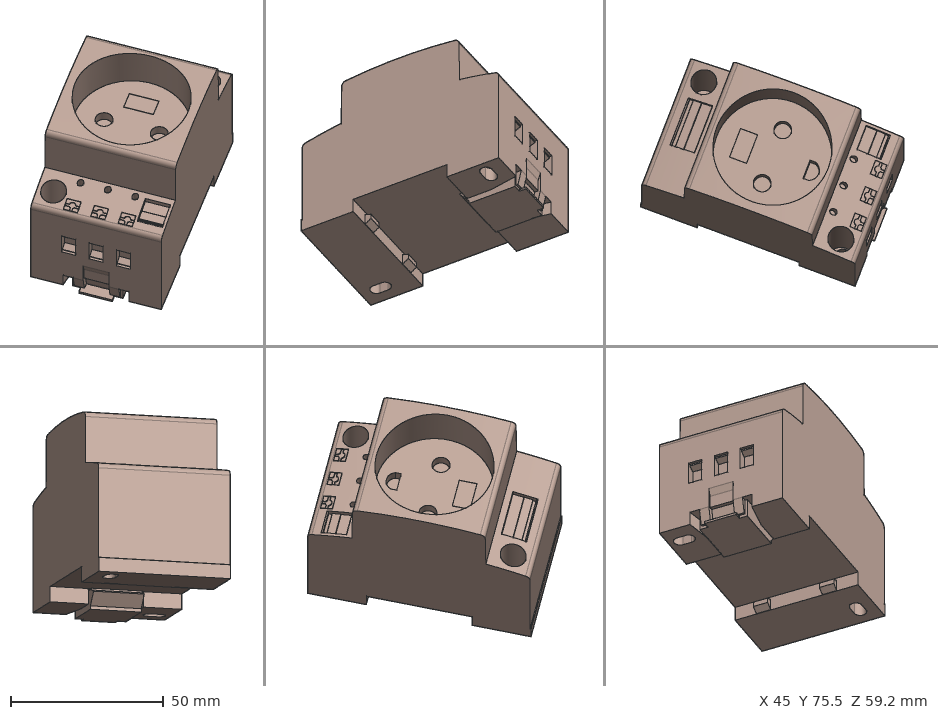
import cadquery as cq
import math

width = 45.0
foot_back_y = 75.0
foot_step_z = 4.7
wall_back_y = 74.65
middle_y = 37.4
clearance = 0.75

shoulder_radius = 150.95
shoulder_peak_z = 40.7
block_half_base = 22.5
block_draft = 0.2
crown_radius = 166.8
crown_peak_z = 57.5
corner_radius = 1.9

socket_center_y = 37.45
socket_diameter = 38.95
socket_floor_z = 42.5
pin_diameter = 5.8
pin_spacing = 19.0
pin_depth = 3.4
plate_width = 10.2
plate_length = 6.0
plate_y = 47.55
plate_depth = 0.15
earth_half_width = 3.25
earth_flat_y = 25.5
earth_side_y = 23.55
earth_tip_y = 21.3

rail_front_y = 19.7
rail_back_y = 55.25
rail_top_z = 5.1

hook_inner_x = 9.4
hook_width = 5.3
hook_reach = 2.2
hook_root_z = (0.15, 4.15)
hook_tip_z = (1.65, 3.4)

screw_bore_diameter = 8.45
screw_seat_z = rail_top_z
screw_slot_length = 7.5
screw_slot_width = 4.3
front_screw = (-16.9, 7.1)
back_screw = (16.3, 67.6)

terminal_pitch = 9.4
terminal_xs = (-terminal_pitch, 0, terminal_pitch)
terminal_width = 4.8

test_hole_y = 12.5
test_hole_width = 2.1
test_hole_length = 2.5
test_hole_depth = 3.8

screw_recess_front_y = 1.8
screw_recess_back_y = 5.9
screw_recess_depth = 0.2
screw_groove_depth = 0.3
screw_hub_diameter = 2.2
screw_hub_y = 4.0
cross_slot_y = 3.8
cross_slot_width = 0.8
stem_slot_width = 0.8

window_bottom_z = 16.7
window_top_z = 24.7
window_rim_depth = 0.9
window_sill_height = 0.2
window_lintel_height = 0.5
window_taper_rise = 1.05
window_depth = 3.1

front_label_x = (12.8, 21.4)
front_label_y = 12.75
back_label_x = (-7.1, 9.7)
back_label_y = 62.1
label_length = 8.45
label_step_start = 3.7
label_step_run = 0.15
label_step_rise = 0.15
label_groove_start = 6.7
label_ledge_width = 0.5
label_depth = 1.5
label_groove_depth = 1.9
label_ledge_depth = 0.4

latch_half_width = 8.7
latch_bottom_z = -1.65
latch_front_y = 2.0
latch_back_y = 19.5
latch_slope_half_width = 7.85
latch_slope_run = 1.3
latch_slope_bottom_z = -0.5
latch_top_z = 4.9
latch_hook_tip = (22.95, 3.7)
latch_neck_y = 20.7
latch_neck_z = 4.5
lip_width = 11.55
lip_front_y = -0.45
lip_top_z = -0.8
latch_slot_half_front = 11.3
latch_slot_half_back = 9.4
latch_slot_taper_length = 10.6

finger_width = 8.8
finger_top_z = 12.2
finger_roof_z = 9.6
finger_depth = 0.8
finger_slope_top_depth = 2.1
finger_bottom_depth = 3.5


def shoulder_z(y):
    """Height of the shoulder arc at depth y."""
    offset = y - middle_y
    return shoulder_peak_z - shoulder_radius + math.sqrt(shoulder_radius**2 - offset**2)


def crown_z(y):
    """Height of the arc on top of the socket block at depth y."""
    offset = y - middle_y
    return crown_peak_z - crown_radius + math.sqrt(crown_radius**2 - offset**2)


def prism(points, x0, x1):
    """Closed (Y, Z) polygon drawn out from x0 to x1."""
    return cq.Workplane("YZ").workplane(offset=x0).polyline(points).close().extrude(x1 - x0)


def tilted_plane(x, y):
    """Plane resting on the shoulder at (x, y), with local Y pointing backwards."""
    tilt = math.asin((y - middle_y) / shoulder_radius)
    normal = (0, math.sin(tilt), math.cos(tilt))
    return cq.Workplane(cq.Plane(origin=(x, y, shoulder_z(y)), xDir=(1, 0, 0), normal=normal))


def make_housing():
    block_front_y = middle_y - block_half_base
    block_back_y = middle_y + block_half_base
    crown_front_y = block_front_y + block_draft
    crown_back_y = block_back_y - block_draft
    shoulder_front_mid = block_front_y / 2
    shoulder_back_mid = (block_back_y + wall_back_y) / 2
    housing = (
        cq.Workplane("YZ")
        .moveTo(0, 0)
        .lineTo(0, shoulder_z(0))
        .threePointArc(
            (shoulder_front_mid, shoulder_z(shoulder_front_mid)),
            (block_front_y, shoulder_z(block_front_y)),
        )
        .lineTo(crown_front_y, crown_z(crown_front_y))
        .threePointArc((middle_y, crown_peak_z), (crown_back_y, crown_z(crown_back_y)))
        .lineTo(block_back_y, shoulder_z(block_back_y))
        .threePointArc(
            (shoulder_back_mid, shoulder_z(shoulder_back_mid)),
            (wall_back_y, shoulder_z(wall_back_y)),
        )
        .lineTo(wall_back_y, foot_step_z)
        .lineTo(foot_back_y, foot_step_z)
        .lineTo(foot_back_y, 0)
        .lineTo(rail_back_y, 0)
        .lineTo(rail_back_y, rail_top_z)
        .lineTo(rail_front_y, rail_top_z)
        .lineTo(rail_front_y, 0)
        .close()
        .extrude(width / 2, both=True)
    )
    rounded_edges = (
        (0, shoulder_z(0)),
        (crown_front_y, crown_z(crown_front_y)),
        (crown_back_y, crown_z(crown_back_y)),
        (wall_back_y, shoulder_z(wall_back_y)),
    )
    for y, z in rounded_edges:
        housing = housing.edges(cq.NearestToPointSelector((0, y, z))).fillet(corner_radius)
    return housing


def make_socket():
    floor = cq.Workplane("XY").workplane(offset=socket_floor_z)
    bowl_height = crown_peak_z + clearance - socket_floor_z
    bowl = floor.center(0, socket_center_y).circle(socket_diameter / 2).extrude(bowl_height)
    pins = (
        floor.center(0, socket_center_y)
        .pushPoints([(-pin_spacing / 2, 0), (pin_spacing / 2, 0)])
        .circle(pin_diameter / 2)
        .extrude(-pin_depth)
    )
    earth = (
        floor.moveTo(-earth_half_width, earth_flat_y)
        .lineTo(earth_half_width, earth_flat_y)
        .lineTo(earth_half_width, earth_side_y)
        .threePointArc((0, earth_tip_y), (-earth_half_width, earth_side_y))
        .close()
        .extrude(-pin_depth)
    )
    plate = floor.center(0, plate_y).rect(plate_width, plate_length).extrude(-plate_depth)
    return bowl.union(pins).union(earth).union(plate)


def make_screw_hole(x, y, slot_angle):
    bore = (
        cq.Workplane("XY", origin=(x, y, screw_seat_z))
        .circle(screw_bore_diameter / 2)
        .extrude(shoulder_peak_z - screw_seat_z)
    )
    slot = (
        cq.Workplane("XY", origin=(x, y, 0))
        .slot2D(screw_slot_length, screw_slot_width, slot_angle)
        .extrude(screw_seat_z)
    )
    return bore.union(slot)


def make_test_hole(x):
    return (
        tilted_plane(x, test_hole_y)
        .workplane(offset=clearance)
        .ellipse(test_hole_width / 2, test_hole_length / 2)
        .extrude(-test_hole_depth - clearance)
    )


def make_screw_recess(x):
    length = screw_recess_back_y - screw_recess_front_y
    middle = (screw_recess_back_y + screw_recess_front_y) / 2
    stem_length = cross_slot_y - screw_recess_front_y
    stem_y = screw_recess_front_y + stem_length / 2
    surface = tilted_plane(x, middle)
    recess = (
        surface.workplane(offset=clearance)
        .rect(terminal_width, length)
        .extrude(-screw_recess_depth - clearance)
    )
    floor = surface.workplane(offset=-screw_recess_depth)
    hub = (
        floor.center(0, screw_hub_y - middle)
        .circle(screw_hub_diameter / 2)
        .extrude(-screw_groove_depth)
    )
    cross = (
        floor.center(0, cross_slot_y - middle)
        .rect(terminal_width, cross_slot_width)
        .extrude(-screw_groove_depth)
    )
    stem = (
        floor.center(0, stem_y - middle)
        .rect(stem_slot_width, stem_length)
        .extrude(-screw_groove_depth)
    )
    return recess.union(hub).union(cross).union(stem)


def make_window(x):
    throat_bottom_z = window_bottom_z + window_sill_height
    throat_top_z = window_top_z - window_lintel_height
    points = [
        (0, window_bottom_z),
        (window_rim_depth, window_bottom_z),
        (window_rim_depth, throat_bottom_z),
        (window_depth, throat_bottom_z + window_taper_rise),
        (window_depth, throat_top_z - window_taper_rise),
        (window_rim_depth, throat_top_z),
        (window_rim_depth, window_top_z),
        (0, window_top_z),
    ]
    return prism(points, x - terminal_width / 2, x + terminal_width / 2)


def make_label_recess(x0, x1, y_inner, outward):
    """Stepped recess running down a shoulder from y_inner; outward is -1 (front) or +1 (back)."""

    def point(distance, depth):
        y = y_inner + outward * distance
        return (y, shoulder_z(y) - depth)

    landing_depth = label_depth - label_step_rise
    points = [
        point(0, -clearance),
        point(0, label_depth),
        point(label_step_start, label_depth),
        point(label_step_start + label_step_run, landing_depth),
        point(label_groove_start, landing_depth),
        point(label_groove_start, label_groove_depth),
        point(label_length - label_ledge_width, label_groove_depth),
        point(label_length - label_ledge_width, label_ledge_depth),
        point(label_length, label_ledge_depth),
        point(label_length, -clearance),
    ]
    return prism(points, x0, x1)


def make_rail_hook(x0):
    tip_y = rail_back_y - hook_reach
    points = [
        (rail_back_y, hook_root_z[1]),
        (tip_y, hook_tip_z[1]),
        (tip_y, hook_tip_z[0]),
        (rail_back_y, hook_root_z[0]),
    ]
    return prism(points, x0, x0 + hook_width)


def make_latch_slot():
    return (
        cq.Workplane("XY")
        .polyline(
            [
                (-latch_slot_half_front, 0),
                (-latch_slot_half_back, latch_slot_taper_length),
                (-latch_slot_half_back, rail_front_y),
                (latch_slot_half_back, rail_front_y),
                (latch_slot_half_back, latch_slot_taper_length),
                (latch_slot_half_front, 0),
            ]
        )
        .close()
        .extrude(latch_top_z)
    )


def make_latch():
    frame = prism(
        [
            (latch_front_y, latch_bottom_z),
            (latch_front_y, rail_top_z),
            (latch_neck_y, rail_top_z),
            (latch_neck_y, latch_neck_z),
            latch_hook_tip,
            (latch_back_y, latch_slope_bottom_z),
            (latch_back_y, latch_bottom_z),
        ],
        -latch_half_width,
        latch_half_width,
    )
    wedge = prism(
        [
            (0, latch_top_z),
            (latch_slope_run, latch_slope_bottom_z),
            (latch_front_y, latch_slope_bottom_z),
            (latch_front_y, latch_top_z),
        ],
        -latch_slope_half_width,
        latch_slope_half_width,
    )
    return frame.union(wedge)


def make_lip():
    points = [
        (lip_front_y, latch_bottom_z),
        (finger_bottom_depth, latch_bottom_z),
        (finger_bottom_depth, lip_top_z),
        (lip_front_y, lip_top_z),
    ]
    return prism(points, -lip_width / 2, lip_width / 2)


def make_finger_pocket():
    points = [
        (0, finger_top_z),
        (finger_depth, finger_roof_z),
        (finger_depth, rail_top_z),
        (finger_slope_top_depth, rail_top_z),
        (finger_bottom_depth, latch_slope_bottom_z),
        (finger_bottom_depth, lip_top_z),
        (0, lip_top_z),
    ]
    return prism(points, -finger_width / 2, finger_width / 2)


result = make_housing()
result = result.cut(make_socket())
result = result.cut(make_screw_hole(*front_screw, slot_angle=0))
result = result.cut(make_screw_hole(*back_screw, slot_angle=90))
for terminal_x in terminal_xs:
    result = result.cut(make_test_hole(terminal_x))
    result = result.cut(make_screw_recess(terminal_x))
    result = result.cut(make_window(terminal_x))
result = result.cut(make_label_recess(*front_label_x, front_label_y, -1))
result = result.cut(make_label_recess(*back_label_x, back_label_y, 1))
result = result.union(make_rail_hook(hook_inner_x))
result = result.union(make_rail_hook(-hook_inner_x - hook_width))
result = result.cut(make_latch_slot())
result = result.union(make_latch())
result = result.cut(make_finger_pocket())
result = result.union(make_lip())